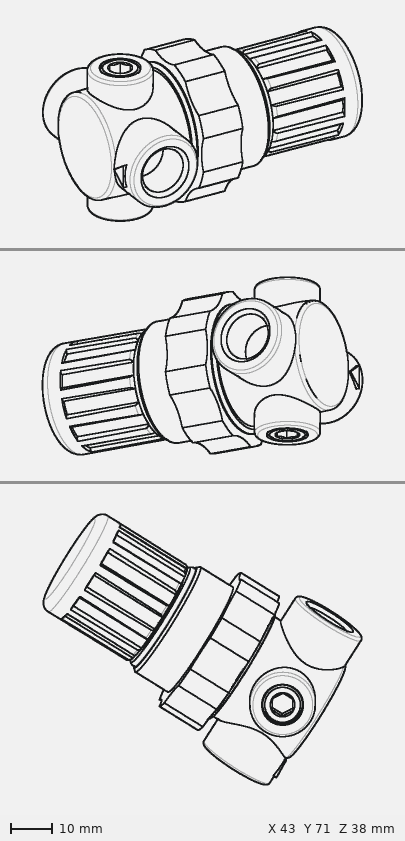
import cadquery as cq
import math

total_length = 71.0
edge_round = 0.7

body_base_diameter = 27.0
body_neck_diameter = 28.55
flange_small_diameter = 30.0
flange_large_diameter = 32.0
flange_start = 21.45
flange_rim_start = 22.2
body_edge_round = 0.85

nut_start = 22.5
nut_end = 33.6
nut_radius = 19.1
nut_scallops = 8
scallop_half_angle = 13.8
scallop_floor_radius = 17.7

bonnet_diameter = 30.0
bonnet_shoulder = 42.9
bonnet_ledge = 43.7
bonnet_ledge_diameter = 28.7
bonnet_rim_diameter = 28.05
bonnet_rim_end = 43.95
bonnet_end = 45.0
bonnet_end_diameter = 27.25
bonnet_end_round = 1.55

neck_diameter = 21.0
knob_start = 45.5
knob_diameter = 27.5
knob_skirt_diameter = 27.25
knob_top_round = 2.3
knob_bottom_round = 0.8
panel_count = 12
panel_end = 65.2
panel_floor_radius = 12.8
panel_floor_width = 3.4
panel_mouth_width = 5.1
panel_mouth_radius = 13.5
panel_flank_radius = 0.85

port_height = 9.95
main_port_diameter = 19.0
main_port_span = 43.0
main_bore_diameter = 11.4
main_bore_mouth_diameter = 13.5
main_bore_depth = 10.65

gauge_port_diameter = 16.0
gauge_port_span = 38.0
groove_outer_diameter = 10.1
groove_bottom_diameter = 9.65
groove_inner_diameter = 8.65
groove_depth = 0.5
socket_width = 5.0
socket_depth = 3.55
socket_mouth_diameter = 5.95
socket_countersink_depth = 0.3

arrow_tip = 14.0
arrow_base = 18.5
arrow_half_width = 3.0


def revolve_about_y(profile):
    return profile.close().revolve(360, (0, 0, 0), (0, 1, 0))


def workplane_at(height):
    """Workplane across the main axis whose extrusions run towards +Y."""
    plane = cq.Plane(origin=(0, height, 0), xDir=(1, 0, 0), normal=(0, 1, 0))
    return cq.Workplane(plane)


def make_body():
    body = revolve_about_y(
        cq.Workplane("XY")
        .lineTo(body_base_diameter / 2, 0)
        .lineTo(body_neck_diameter / 2, flange_start)
        .lineTo(0, flange_start)
    )
    return body.faces("<Y").edges().fillet(body_edge_round)


def make_flange_and_bonnet():
    return revolve_about_y(
        cq.Workplane("XY")
        .moveTo(0, flange_start)
        .lineTo(flange_small_diameter / 2, flange_start)
        .lineTo(flange_large_diameter / 2, flange_rim_start)
        .lineTo(flange_large_diameter / 2, nut_start)
        .lineTo(bonnet_diameter / 2, nut_start)
        .lineTo(bonnet_diameter / 2, bonnet_shoulder)
        .lineTo(bonnet_ledge_diameter / 2, bonnet_ledge)
        .lineTo(bonnet_rim_diameter / 2, bonnet_ledge)
        .lineTo(bonnet_rim_diameter / 2, bonnet_rim_end)
        .radiusArc((bonnet_end_diameter / 2, bonnet_end), -bonnet_end_round)
        .lineTo(0, bonnet_end)
    )


def polar(radius, degrees):
    angle = math.radians(degrees)
    return (radius * math.cos(angle), radius * math.sin(angle))


def make_nut():
    pitch = 360 / nut_scallops
    outline = workplane_at(nut_start).moveTo(*polar(nut_radius, -scallop_half_angle))
    for index in range(nut_scallops):
        middle = index * pitch
        outline = outline.threePointArc(
            polar(scallop_floor_radius, middle),
            polar(nut_radius, middle + scallop_half_angle),
        )
        outline = outline.threePointArc(
            polar(nut_radius, middle + pitch / 2),
            polar(nut_radius, middle + pitch - scallop_half_angle),
        )
    return outline.close().extrude(nut_end - nut_start)


def make_knob():
    knob_radius = knob_diameter / 2
    skirt_radius = knob_skirt_diameter / 2
    round_start = total_length - knob_top_round
    knob = revolve_about_y(
        cq.Workplane("XY")
        .moveTo(0, knob_start)
        .lineTo(skirt_radius - knob_bottom_round, knob_start)
        .radiusArc((skirt_radius, knob_start + knob_bottom_round), -knob_bottom_round)
        .lineTo(knob_radius, round_start)
        .radiusArc((knob_radius - knob_top_round, total_length), -knob_top_round)
        .lineTo(0, total_length)
    )
    floor_half_width = panel_floor_width / 2
    floor_edge = math.sqrt(panel_floor_radius**2 - floor_half_width**2)
    mouth_half_width = panel_mouth_width / 2
    panel = (
        workplane_at(knob_start)
        .moveTo(floor_edge, -floor_half_width)
        .radiusArc((panel_mouth_radius, -mouth_half_width), panel_flank_radius)
        .lineTo(knob_radius, -mouth_half_width)
        .lineTo(knob_radius, mouth_half_width)
        .lineTo(panel_mouth_radius, mouth_half_width)
        .radiusArc((floor_edge, floor_half_width), panel_flank_radius)
        .threePointArc((panel_floor_radius, 0), (floor_edge, -floor_half_width))
        .close()
        .extrude(panel_end - knob_start)
    )
    for index in range(panel_count):
        knob = knob.cut(panel.rotate((0, 0, 0), (0, 1, 0), index * 360 / panel_count))
    return knob


def make_neck():
    return workplane_at(bonnet_end).circle(neck_diameter / 2).extrude(knob_start - bonnet_end)


def make_port(plane, diameter, span):
    """Bar through the body axis, with a boss and rounded rim at both ends."""
    bar = (
        cq.Workplane(plane, origin=(0, port_height, 0))
        .circle(diameter / 2)
        .extrude(span / 2, both=True)
    )
    return bar.edges("%CIRCLE").fillet(edge_round)


def make_main_bore(side):
    """Blind bore with a chamfered mouth; side is -1 or +1 along X."""
    face = main_port_span / 2
    bore_radius = main_bore_diameter / 2
    mouth_radius = main_bore_mouth_diameter / 2
    bore = (
        cq.Workplane("XY")
        .moveTo(face - main_bore_depth, 0)
        .lineTo(face - main_bore_depth, bore_radius)
        .lineTo(face - (mouth_radius - bore_radius), bore_radius)
        .lineTo(face, mouth_radius)
        .lineTo(face, 0)
        .close()
        .revolve(360, (0, 0, 0), (1, 0, 0))
        .translate((0, port_height, 0))
    )
    return bore if side > 0 else bore.mirror("YZ")


def make_plug_cut(side):
    """V groove around a plug plus its hexagon socket; side is -1 or +1 along Z."""
    face = gauge_port_span / 2
    groove = (
        cq.Workplane("XZ")
        .moveTo(groove_outer_diameter / 2, face)
        .lineTo(groove_bottom_diameter / 2, face - groove_depth)
        .lineTo(groove_inner_diameter / 2, face)
        .close()
        .revolve(360, (0, 0, 0), (0, 1, 0))
    )
    corner_diameter = socket_width / math.cos(math.pi / 6)
    socket = (
        cq.Workplane("XY", origin=(0, 0, face))
        .polygon(6, corner_diameter)
        .extrude(-socket_depth)
        .rotate((0, 0, 0), (0, 0, 1), 30)
    )
    countersink = (
        cq.Workplane("XY", origin=(0, 0, face))
        .circle(socket_mouth_diameter / 2)
        .workplane(offset=-socket_countersink_depth)
        .circle(socket_width / 2)
        .loft()
    )
    cut = groove.union(socket.union(countersink)).translate((0, port_height, 0))
    return cut if side > 0 else cut.mirror("XY")


def make_flow_arrow():
    return (
        workplane_at(0)
        .moveTo(arrow_tip, 0)
        .lineTo(arrow_base, arrow_half_width)
        .lineTo(arrow_base, -arrow_half_width)
        .close()
        .extrude(port_height - main_bore_mouth_diameter / 2)
    )


result = (
    make_body()
    .union(make_flange_and_bonnet())
    .union(make_nut())
    .union(make_neck())
    .union(make_knob())
    .union(make_port("YZ", main_port_diameter, main_port_span))
    .union(make_port("XY", gauge_port_diameter, gauge_port_span))
    .union(make_flow_arrow())
)
for end in (-1, 1):
    result = result.cut(make_main_bore(end)).cut(make_plug_cut(end))